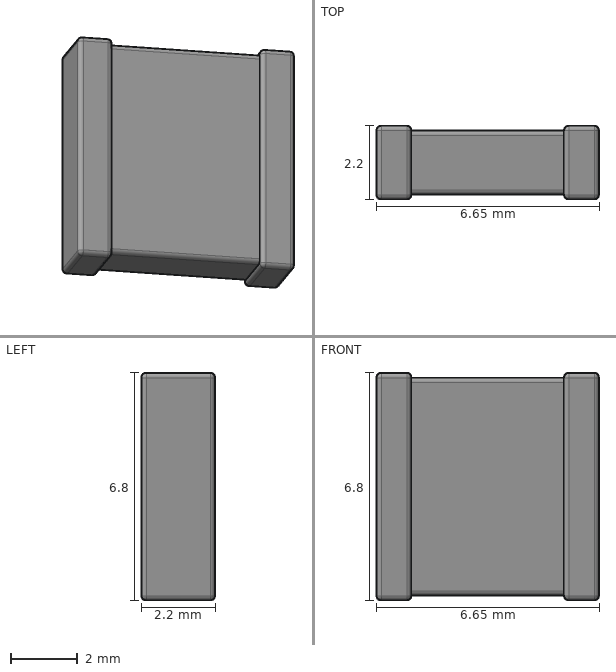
import cadquery as cq

length = 6.65
depth = 2.2
height = 6.8

cap_length = 1.05
cap_step = 0.14
edge_radius = cap_step

body_length = length - 2 * cap_length
body_depth = depth - 2 * cap_step
body_height = height - 2 * cap_step

cap_offset = (length - cap_length) / 2


def make_body():
    """Block between the caps, with its four long edges rounded and flat ends."""
    block = cq.Workplane("XY").box(body_length, body_depth, body_height)
    return block.edges("|X").fillet(edge_radius)


def make_end_cap(x_center):
    """Terminal block with every edge rounded, butting against one end of the body."""
    block = cq.Workplane("XY").box(cap_length, depth, height)
    return block.edges().fillet(edge_radius).translate((x_center, 0, 0))


body = make_body()

end_caps = []
for side in (-1, 1):
    end_caps.append(make_end_cap(side * cap_offset))

result = cq.Compound.makeCompound([body.val(), *[cap.val() for cap in end_caps]])